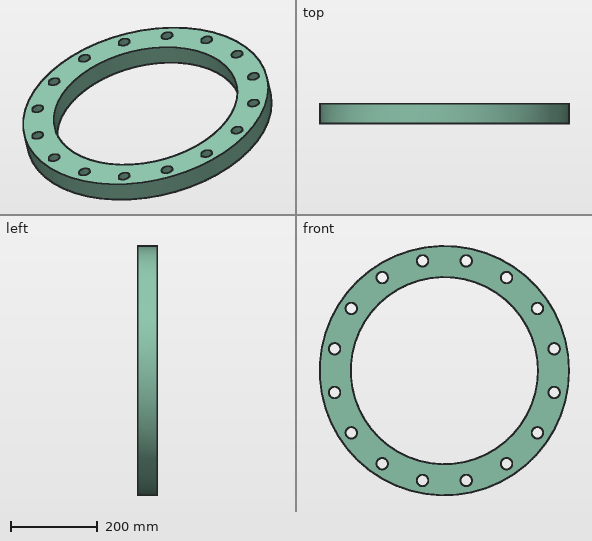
import cadquery as cq

outer_diameter = 574.0
bore_diameter = 430.0
thickness = 46.0

bolt_count = 16
bolt_hole_diameter = 26.0
bolt_circle_diameter = 515.0
bolt_pitch_angle = 360 / bolt_count


def make_ring():
    """Plain ring with its back face on the XZ plane."""
    return (
        cq.Workplane("XZ")
        .circle(outer_diameter / 2)
        .circle(bore_diameter / 2)
        .extrude(thickness)
    )


def make_bolt_holes():
    """Cylinders that pass through the full thickness of the ring."""
    return (
        cq.Workplane("XZ")
        .polarArray(bolt_circle_diameter / 2, bolt_pitch_angle / 2, 360, bolt_count)
        .circle(bolt_hole_diameter / 2)
        .extrude(thickness)
    )


result = make_ring().cut(make_bolt_holes())